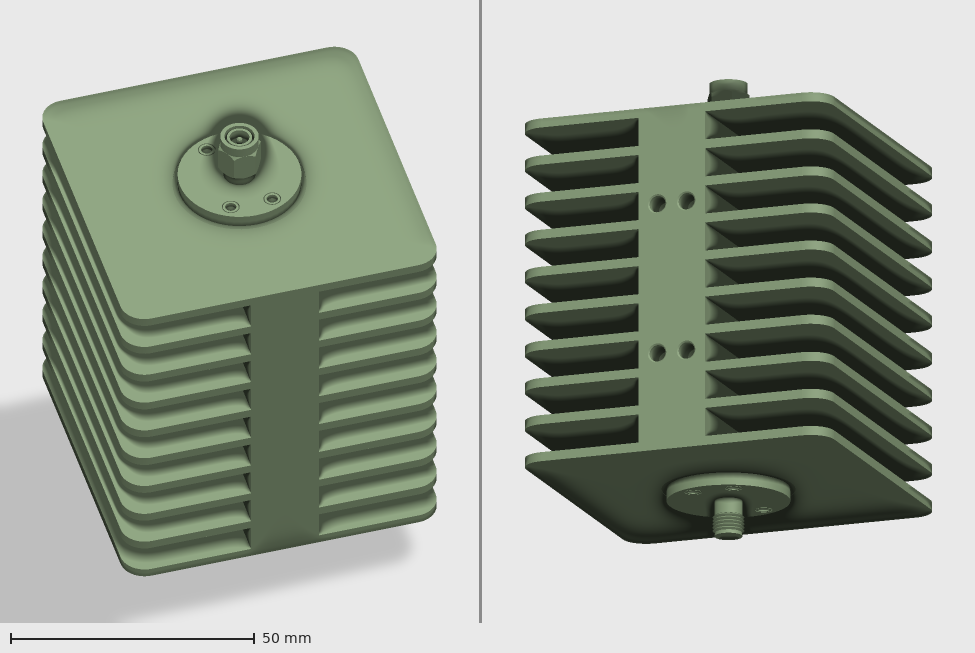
import cadquery as cq
import math

block_side = 67.3
block_corner_radius = 5.1
core_width = 14.5
fin_count = 10
fin_pitch = 7.9
fin_thickness = 1.9
fin_gap = fin_pitch - fin_thickness
block_height = (fin_count - 1) * fin_pitch + fin_thickness

flange_radius = 12.7
flange_height = 2.5
recess_radius = 13.8
recess_depth = 0.1

screw_x = 8.9
screw_y = 4.4
screw_gap_radius = 1.8
screw_gap_depth = 0.5
screw_head_radius = 1.6
socket_radius = 1.2
socket_depth = 1.0

side_hole_spacing_y = 6.4
side_hole_spacing_z = 31.8
side_hole_radius = 1.7
side_hole_mouth_radius = 2.0
side_hole_depth = 5.8
drill_point_angle = 118
drill_point_depth = side_hole_radius / math.tan(math.radians(drill_point_angle / 2))

total_height = 96.3
female_length = 7.5
male_length = total_height - block_height - 2 * flange_height - female_length

neck_radius = 3.3
neck_length = 2.4
nut_across_flats = 7.9
nut_corner_radius = nut_across_flats / math.sqrt(3)
nut_length = 6.3
nut_chamfer = 0.7
barrel_radius = nut_across_flats / 2
bore_radius = 3.1
bore_depth = 2.4
sleeve_outer_radius = 2.6
sleeve_inner_radius = 2.0
sleeve_recess = 0.3
pin_radius = 0.6
pin_tip_chamfer = 0.3
pin_recess = 0.5

shank_radius = 2.9
thread_radius = 3.3
thread_root_radius = 2.8
thread_pitch = 0.72
thread_count = 5
thread_end_gap = 0.8

block_top = block_height
flange_top = block_top + flange_height
total_top = flange_top + male_length


def disc(radius, height, bottom):
    return cq.Workplane("XY").workplane(offset=bottom).circle(radius).extrude(height)


def make_block():
    block = (
        cq.Workplane("XY")
        .rect(block_side, block_side)
        .extrude(block_height)
        .edges("|Z")
        .fillet(block_corner_radius)
    )
    slot_depth = (block_side - core_width) / 2
    slot_center_y = (core_width + slot_depth) / 2
    for index in range(fin_count - 1):
        slot_center_z = fin_thickness + index * fin_pitch + fin_gap / 2
        for side in (-1, 1):
            slot = cq.Workplane("XY").box(block_side, slot_depth, fin_gap)
            block = block.cut(slot.translate((0, side * slot_center_y, slot_center_z)))
    return block


def make_side_hole():
    """Countersunk blind hole with a drill point, entering along +X from the origin."""
    mouth_depth = side_hole_mouth_radius - side_hole_radius
    return (
        cq.Workplane("XY")
        .polyline([
            (0, 0),
            (0, side_hole_mouth_radius),
            (mouth_depth, side_hole_radius),
            (side_hole_depth, side_hole_radius),
            (side_hole_depth + drill_point_depth, 0),
        ])
        .close()
        .revolve(360, (0, 0, 0), (1, 0, 0))
    )


def cut_side_holes(body):
    hole = make_side_hole()
    for side_y in (-1, 1):
        for side_z in (-1, 1):
            y = side_y * side_hole_spacing_y / 2
            z = block_height / 2 + side_z * side_hole_spacing_z / 2
            body = body.cut(hole.translate((-block_side / 2, y, z)))
    return body


def add_top_flange(body):
    recess_floor = block_top - recess_depth
    body = body.cut(disc(recess_radius, recess_depth, recess_floor))
    body = body.union(disc(flange_radius, flange_height + recess_depth, recess_floor))
    gap_bottom = flange_top - screw_gap_depth
    gap = disc(screw_gap_radius, screw_gap_depth, gap_bottom)
    gap = gap.cut(disc(screw_head_radius, screw_gap_depth, gap_bottom))
    socket = disc(socket_radius, socket_depth, flange_top - socket_depth)
    for x in (-screw_x, screw_x):
        for y in (-screw_y, screw_y):
            body = body.cut(gap.translate((x, y, 0)))
            body = body.cut(socket.translate((x, y, 0)))
    return body


def turn_over(body):
    """Swap the two ends of the block."""
    middle = (0, 0, block_height / 2)
    return body.rotate(middle, (1, 0, block_height / 2), 180)


def make_nut(bottom):
    """Hexagonal nut with corners on the Y axis and turned chamfers at both ends."""
    nut = (
        cq.Workplane("XY")
        .polygon(6, 2 * nut_corner_radius)
        .extrude(nut_length)
        .rotate((0, 0, 0), (0, 0, 1), 90)
    )
    envelope = disc(nut_corner_radius, nut_length, 0).faces("<Z or >Z").chamfer(nut_chamfer)
    return nut.intersect(envelope).translate((0, 0, bottom))


def make_male_connector():
    nut_bottom = flange_top + neck_length
    bore_floor = total_top - bore_depth
    sleeve_height = bore_depth - sleeve_recess
    connector = disc(neck_radius, neck_length, flange_top)
    connector = connector.union(make_nut(nut_bottom))
    barrel_bottom = nut_bottom + nut_chamfer
    connector = connector.union(disc(barrel_radius, total_top - barrel_bottom, barrel_bottom))
    connector = connector.cut(disc(bore_radius, bore_depth, bore_floor))
    sleeve = disc(sleeve_outer_radius, sleeve_height, bore_floor)
    sleeve = sleeve.cut(disc(sleeve_inner_radius, sleeve_height, bore_floor))
    pin = disc(pin_radius, bore_depth - pin_recess, bore_floor).faces(">Z").chamfer(pin_tip_chamfer)
    return connector.union(sleeve).union(pin)


def make_female_connector():
    """Turned profile: a plain shank carrying ring-shaped thread crests near its free end."""
    end_z = -flange_height - female_length
    thread_bottom = end_z + thread_end_gap
    points = [(0, end_z), (shank_radius, end_z), (thread_root_radius, thread_bottom)]
    for index in range(thread_count):
        root_z = thread_bottom + index * thread_pitch
        points.append((thread_radius, root_z + thread_pitch / 2))
        points.append((thread_root_radius, root_z + thread_pitch))
    thread_top = thread_bottom + thread_count * thread_pitch
    points += [(shank_radius, thread_top), (shank_radius, -flange_height), (0, -flange_height)]
    return cq.Workplane("XZ").polyline(points).close().revolve(360, (0, 0, 0), (0, 1, 0))


body = cut_side_holes(make_block())
body = add_top_flange(body)
body = turn_over(add_top_flange(turn_over(body)))
result = body.union(make_male_connector()).union(make_female_connector())